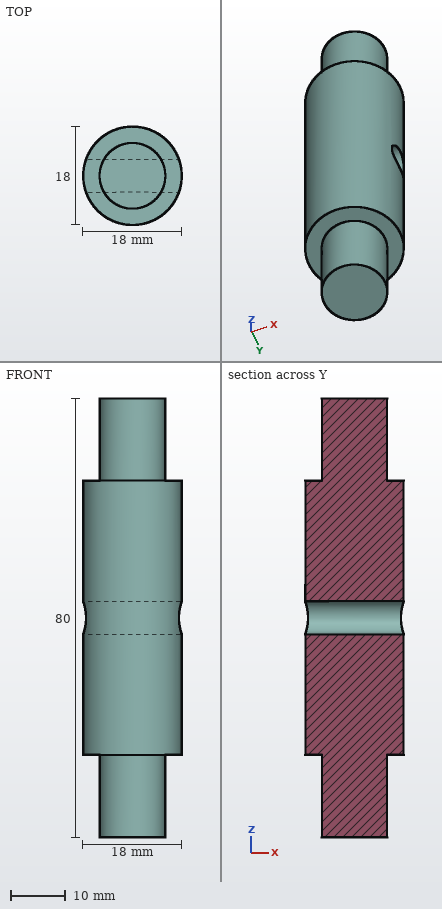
import cadquery as cq

body_diameter = 18.0
body_length = 50.0
journal_diameter = 12.0
journal_length = 15.0
cross_hole_diameter = 6.0

total_length = body_length + 2 * journal_length


def centred_cylinder(diameter, length, axis_plane):
    """Cylinder centred on the origin, with its axis normal to axis_plane."""
    return cq.Workplane(axis_plane).circle(diameter / 2).extrude(length / 2, both=True)


body = centred_cylinder(body_diameter, body_length, "XY")
journals = centred_cylinder(journal_diameter, total_length, "XY")
pin = body.union(journals)

cross_hole = centred_cylinder(cross_hole_diameter, 2 * body_diameter, "YZ")

result = pin.cut(cross_hole)